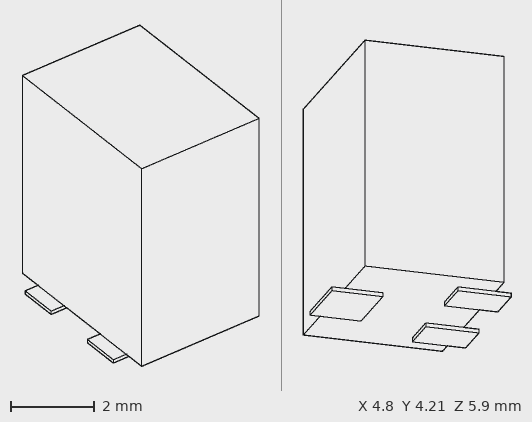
import cadquery as cq

housing_width = 4.8
housing_depth = 3.5
housing_height = 5.8

terminal_thickness = 0.1
front_terminal_width = 1.05
front_terminal_length = 1.34
front_terminal_pitch = 2.5
front_overhang = 0.38
rear_terminal_width = 1.7
rear_terminal_length = 1.28
rear_overhang = 0.33

front_end_y = -housing_depth / 2 - front_overhang
rear_end_y = housing_depth / 2 + rear_overhang


def make_housing():
    """Plain block resting on top of the terminals."""
    return (
        cq.Workplane("XY")
        .box(housing_width, housing_depth, housing_height, centered=(True, True, False))
        .translate((0, 0, terminal_thickness))
    )


def make_front_terminal(center_x):
    """Flat tab reaching from under the housing past its front face."""
    return (
        cq.Workplane("XY")
        .box(
            front_terminal_width,
            front_terminal_length,
            terminal_thickness,
            centered=(True, False, False),
        )
        .translate((center_x, front_end_y, 0))
    )


def make_rear_terminal():
    """Single wider tab reaching from under the housing past its rear face."""
    return (
        cq.Workplane("XY")
        .box(
            rear_terminal_width,
            rear_terminal_length,
            terminal_thickness,
            centered=(True, False, False),
        )
        .translate((0, rear_end_y - rear_terminal_length, 0))
    )


housing = make_housing()
front_terminals = [make_front_terminal(side * front_terminal_pitch / 2) for side in (-1, 1)]
rear_terminal = make_rear_terminal()

result = cq.Compound.makeCompound(
    [
        housing.val(),
        *[terminal.val() for terminal in front_terminals],
        rear_terminal.val(),
    ]
)